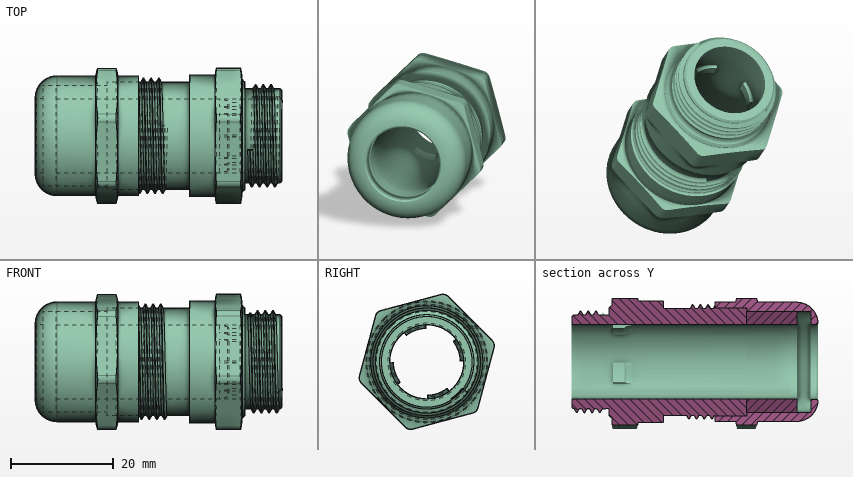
import cadquery as cq
import math


bore_radius = 14.44 / 2
across_flats = 23.97
hex_face_radius = 23.5 / 2
hex_rotation = 15.0

cap_radius = 23.4 / 2
cap_length = 20.2
dome_radius = 4.3
lip_radius = 14.54 / 2
lip_depth = 1.5
lip_chamfer = 0.3
chamber_radius = 19.64 / 2
cap_hex_start = 11.82
cap_hex_end = 16.15
cap_hex_corner_radius = 1.6
cap_hex_bevel = 0.45

neck_radius = 20.98 / 2
spigot_start = 14.0
flange_radius = 23.8 / 2
flange_start = 30.15
body_hex_start = 35.1
body_hex_end = 40.35
body_hex_corner_radius = 1.5
body_hex_bevel = 0.31
collar_radius = 10.95
collar_end = 40.9
collar_chamfer = 0.45
stem_radius = 18.42 / 2
stem_end = 48.15
stem_chamfer = 0.36

pitch = 1.5
flank_angle = 30.0
crest_half_width = 0.06
neck_thread_sink = 0.1
neck_crest_radius = 22.5 / 2
neck_thread_start = 19.26
neck_thread_start_angle = 0.0
neck_thread_turns = 4.03
stem_thread_sink = 0.6
stem_crest_radius = 20.0 / 2
stem_thread_start = 41.97
stem_thread_start_angle = 197.0
stem_thread_turns = 3.6

seal_front = 4.1

tab_count = 4
tab_height = 0.7
tab_ramp_height = 0.35
tab_ramp_length = 1.5
tab_step_length = 0.3
tab_start = 36.0
tab_end = 40.0
tab_first_angle = 1.5
tab_span = 36.0


def cylinder(radius, start, end):
    return cq.Workplane("YZ", origin=(start, 0, 0)).circle(radius).extrude(end - start)


def hexagon(start, end, corner_radius, bevel):
    """Hexagon with rounded corners; a shallow cone bevels both end faces."""
    corner_diameter = across_flats / math.cos(math.radians(30))
    prism = (
        cq.Workplane("YZ", origin=(start, 0, 0))
        .polygon(6, corner_diameter)
        .extrude(end - start)
        .edges("|X")
        .fillet(corner_radius)
        .rotate((0, 0, 0), (1, 0, 0), hex_rotation)
    )
    envelope = (
        cq.Workplane("XY")
        .moveTo(start, 0)
        .lineTo(start, hex_face_radius)
        .lineTo(start + bevel, corner_diameter / 2)
        .lineTo(end - bevel, corner_diameter / 2)
        .lineTo(end, hex_face_radius)
        .lineTo(end, 0)
        .close()
        .revolve(360, (0, 0, 0), (1, 0, 0))
    )
    return prism.intersect(envelope)


def thread_ridge(root_radius, crest_radius, sink, start, start_angle, turns):
    """Right-handed helical ridge around X, sunk into the core below its root radius."""
    base_radius = root_radius - sink
    base_half_width = crest_half_width + (crest_radius - base_radius) * math.tan(math.radians(flank_angle))
    helix = cq.Wire.makeHelix(pitch, pitch * turns, base_radius)
    ridge = (
        cq.Workplane("XZ")
        .moveTo(base_radius, -base_half_width)
        .lineTo(crest_radius, -crest_half_width)
        .lineTo(crest_radius, crest_half_width)
        .lineTo(base_radius, base_half_width)
        .close()
        .sweep(cq.Workplane(obj=helix), isFrenet=True)
    )
    return (
        ridge.rotate((0, 0, 0), (0, 1, 0), 90)
        .rotate((0, 0, 0), (1, 0, 0), start_angle)
        .translate((start, 0, 0))
    )


def make_cap():
    dome_centre_radius = cap_radius - dome_radius
    arc_leg = dome_radius * math.sqrt(0.5)
    shell = (
        cq.Workplane("XY")
        .lineTo(0, dome_centre_radius)
        .threePointArc((dome_radius - arc_leg, dome_centre_radius + arc_leg), (dome_radius, cap_radius))
        .lineTo(cap_length, cap_radius)
        .lineTo(cap_length, 0)
        .close()
        .revolve(360, (0, 0, 0), (1, 0, 0))
    )
    entry_chamfer = (
        cq.Workplane("XY")
        .lineTo(0, lip_radius + lip_chamfer)
        .lineTo(lip_chamfer, lip_radius)
        .lineTo(lip_chamfer, 0)
        .close()
        .revolve(360, (0, 0, 0), (1, 0, 0))
    )
    return (
        shell.union(hexagon(cap_hex_start, cap_hex_end, cap_hex_corner_radius, cap_hex_bevel))
        .cut(cylinder(lip_radius, 0, lip_depth))
        .cut(entry_chamfer)
        .cut(cylinder(chamber_radius, lip_depth, spigot_start))
        .cut(cylinder(neck_radius, spigot_start, cap_length))
    )


def make_body():
    collar = cylinder(collar_radius, body_hex_end, collar_end).faces(">X").chamfer(collar_chamfer)
    stem = cylinder(stem_radius, collar_end, stem_end).faces(">X").chamfer(stem_chamfer)
    neck_thread = thread_ridge(
        neck_radius, neck_crest_radius, neck_thread_sink,
        neck_thread_start, neck_thread_start_angle, neck_thread_turns,
    ).intersect(cylinder(cap_radius, cap_length, flange_start))
    stem_thread = thread_ridge(
        stem_radius, stem_crest_radius, stem_thread_sink,
        stem_thread_start, stem_thread_start_angle, stem_thread_turns,
    )
    return (
        cylinder(neck_radius, spigot_start, flange_start)
        .union(cylinder(flange_radius, flange_start, body_hex_start))
        .union(hexagon(body_hex_start, body_hex_end, body_hex_corner_radius, body_hex_bevel))
        .union(collar)
        .union(stem)
        .union(neck_thread)
        .union(stem_thread)
        .cut(cylinder(bore_radius, spigot_start, stem_end))
    )


def make_seal():
    return cylinder(chamber_radius, seal_front, spigot_start).cut(cylinder(bore_radius, seal_front, spigot_start))


def make_tab(angle):
    """Pad on the bore wall, ramped at its front; it starts at the angle from +Z towards -Y."""
    ramp_end = tab_start + tab_ramp_length
    top_radius = bore_radius - tab_height
    return (
        cq.Workplane("XZ")
        .moveTo(tab_start, bore_radius)
        .lineTo(ramp_end, bore_radius - tab_ramp_height)
        .lineTo(ramp_end + tab_step_length, top_radius)
        .lineTo(tab_end, top_radius)
        .lineTo(tab_end, bore_radius)
        .close()
        .revolve(tab_span, (0, 0, 0), (1, 0, 0))
        .rotate((0, 0, 0), (1, 0, 0), angle)
    )


cap = make_cap()
body = make_body()
seal = make_seal()
tabs = [make_tab(tab_first_angle + index * 360 / tab_count) for index in range(tab_count)]

result = cq.Compound.makeCompound([cap.val(), body.val(), seal.val(), *[tab.val() for tab in tabs]])